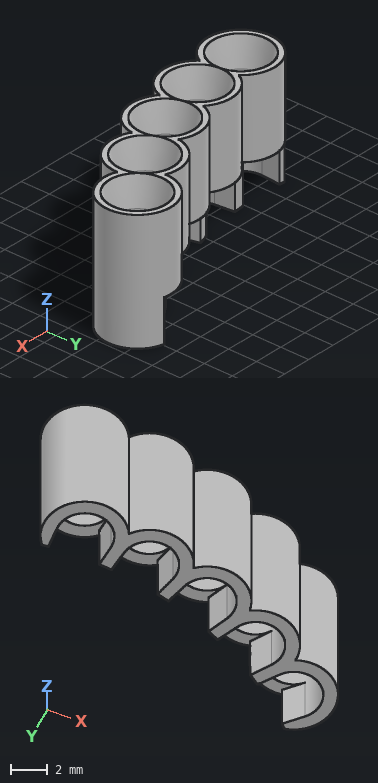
import cadquery as cq
import math

tube_count = 5
arc_radius = 23.0
angle_step = 10.0
arc_center_y = arc_radius

outer_radius = 2.4
bore_radius = 1.6
mouth_radius = 2.0
mouth_depth = 2.0

base_height = 2.95
upper_height = 5.5
total_height = base_height + upper_height
trim_offset = 1.4
trim_radius = arc_radius - trim_offset

opening_half_angle = math.asin(bore_radius / arc_radius)
tangent_length = arc_radius * math.cos(opening_half_angle)
tangent_x = tangent_length * math.sin(opening_half_angle)
tangent_y = arc_center_y - tangent_length * math.cos(opening_half_angle)


def along_arc(shape, index):
    """Move a shape from the first tube position to the given position on the arc."""
    return shape.rotate((0, arc_center_y, 0), (0, arc_center_y, 1), index * angle_step)


def make_tube_body():
    return cq.Workplane("XY").circle(outer_radius).extrude(total_height)


def make_bore():
    """Through bore that flares conically to a wider mouth at the top."""
    return (
        cq.Workplane("XZ")
        .lineTo(bore_radius, 0)
        .lineTo(bore_radius, total_height - mouth_depth)
        .lineTo(mouth_radius, total_height)
        .lineTo(0, total_height)
        .close()
        .revolve(360, (0, 0, 0), (0, 1, 0))
    )


def make_base_opening():
    """Wedge that opens the base of the bore toward the arc center."""
    return (
        cq.Workplane("XY")
        .moveTo(0, arc_center_y)
        .lineTo(-tangent_x, tangent_y)
        .lineTo(tangent_x, tangent_y)
        .close()
        .extrude(base_height)
    )


def make_base_trim():
    """Disc about the arc center that removes the inner side of the base."""
    return cq.Workplane("XY").center(0, arc_center_y).circle(trim_radius).extrude(base_height)


result = make_tube_body()
for position in range(1, tube_count):
    result = result.union(along_arc(make_tube_body(), position))

result = result.cut(make_base_trim())
for position in range(tube_count):
    result = result.cut(along_arc(make_bore(), position))
    result = result.cut(along_arc(make_base_opening(), position))